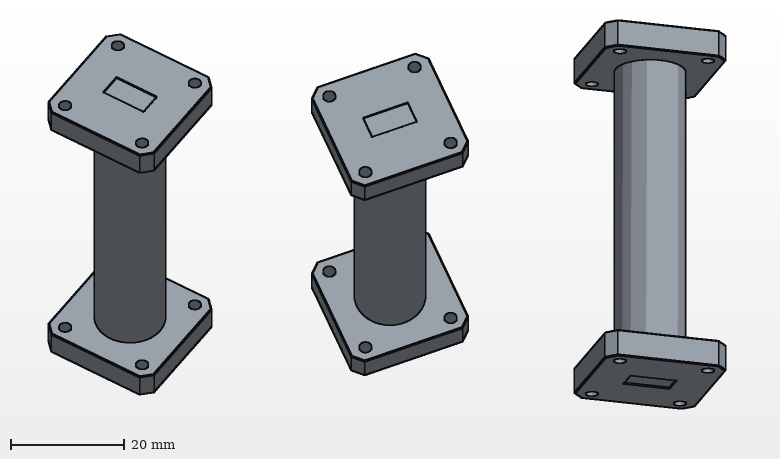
import cadquery as cq

length = 63.5
flange_width = 22.35
flange_thickness = 4.9
tube_diameter = 12.7

corner_cut = 1.85
edge_chamfer = 0.2

hole_diameter = 2.2
hole_spacing_x = 16.25
hole_spacing_y = 17.0

window_length = 8.5
window_width = 4.3
window_depth = 0.3


def make_flange():
    """Flange standing on Z = 0, with its outer face on top."""
    flange = (
        cq.Workplane("XY")
        .rect(flange_width, flange_width)
        .extrude(flange_thickness)
        .edges("|Z")
        .chamfer(corner_cut)
        .faces("<Z or >Z")
        .chamfer(edge_chamfer)
    )
    holes = (
        cq.Workplane("XY")
        .rect(hole_spacing_x, hole_spacing_y, forConstruction=True)
        .vertices()
        .circle(hole_diameter / 2)
        .extrude(flange_thickness)
    )
    window = (
        cq.Workplane("XY")
        .workplane(offset=flange_thickness - window_depth)
        .rect(window_length, window_width)
        .extrude(window_depth)
    )
    return flange.cut(holes).cut(window)


tube = cq.Workplane("XY").cylinder(length - 2 * flange_thickness, tube_diameter / 2)

top_flange = make_flange().translate((0, 0, length / 2 - flange_thickness))
bottom_flange = top_flange.mirror("XY")

result = tube.union(top_flange).union(bottom_flange)